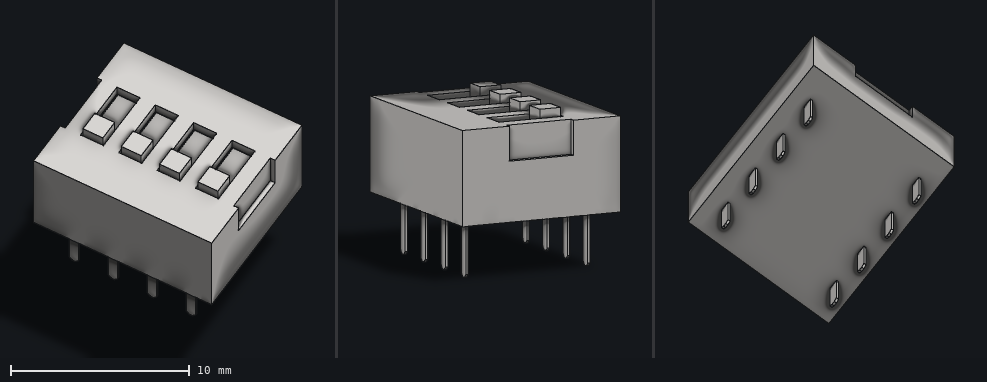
import cadquery as cq

BODY_LENGTH = 11.62
BODY_WIDTH = 9.9
BODY_HEIGHT = 5.5

POSITIONS = 4
SWITCH_PITCH = 2.5
SLOT_LENGTH = 4.0
SLOT_WIDTH = 1.5
SLOT_DEPTH = 0.6
SLOT_FLOOR = BODY_HEIGHT - SLOT_DEPTH

SLIDER_GAP = 0.1
SLIDER_LENGTH = SLOT_LENGTH - 2 * SLIDER_GAP
SLIDER_WIDTH = SLOT_WIDTH - 2 * SLIDER_GAP
PLATE_THICKNESS = 0.1
KNOB_LENGTH = SLIDER_WIDTH
KNOB_RISE = 0.5

NOTCH_LENGTH = SLOT_LENGTH
NOTCH_DEPTH = 0.31
NOTCH_HEIGHT = 2.0

PIN_PITCH = 2.55
PIN_ROW_SPACING = 7.62
PIN_WIDTH = 0.6
PIN_THICKNESS = 0.15
PIN_LENGTH = 3.3
PIN_CHAMFER = 0.2


def box_at(length, width, height, x, y, bottom):
    """Box centred on (x, y) and standing on the given Z level."""
    box = cq.Workplane("XY").box(length, width, height, centered=(True, True, False))
    return box.translate((x, y, bottom))


def row_places(pitch):
    """X coordinates of one feature per switch, spread evenly about the middle."""
    return [(i - (POSITIONS - 1) / 2) * pitch for i in range(POSITIONS)]


def make_housing():
    housing = box_at(BODY_LENGTH, BODY_WIDTH, BODY_HEIGHT, 0, 0, 0)
    notch_floor = BODY_HEIGHT - NOTCH_HEIGHT
    for end_x in (-BODY_LENGTH / 2, BODY_LENGTH / 2):
        notch = box_at(2 * NOTCH_DEPTH, NOTCH_LENGTH, NOTCH_HEIGHT, end_x, 0, notch_floor)
        housing = housing.cut(notch)
    for slot_x in row_places(SWITCH_PITCH):
        housing = housing.cut(box_at(SLOT_WIDTH, SLOT_LENGTH, SLOT_DEPTH, slot_x, 0, SLOT_FLOOR))
    return housing


def make_slider(x):
    plate = box_at(SLIDER_WIDTH, SLIDER_LENGTH, PLATE_THICKNESS, x, 0, SLOT_FLOOR)
    knob_y = (KNOB_LENGTH - SLIDER_LENGTH) / 2
    knob = box_at(SLIDER_WIDTH, KNOB_LENGTH, SLOT_DEPTH + KNOB_RISE, x, knob_y, SLOT_FLOOR)
    return plate.union(knob)


def make_pin(x, y):
    pin = box_at(PIN_WIDTH, PIN_THICKNESS, PIN_LENGTH, x, y, -PIN_LENGTH)
    return pin.faces("<Z").edges("|Y").chamfer(PIN_CHAMFER)


result = make_housing()
for switch_x in row_places(SWITCH_PITCH):
    result = result.union(make_slider(switch_x))
for pin_x in row_places(PIN_PITCH):
    for pin_y in (-PIN_ROW_SPACING / 2, PIN_ROW_SPACING / 2):
        result = result.union(make_pin(pin_x, pin_y))